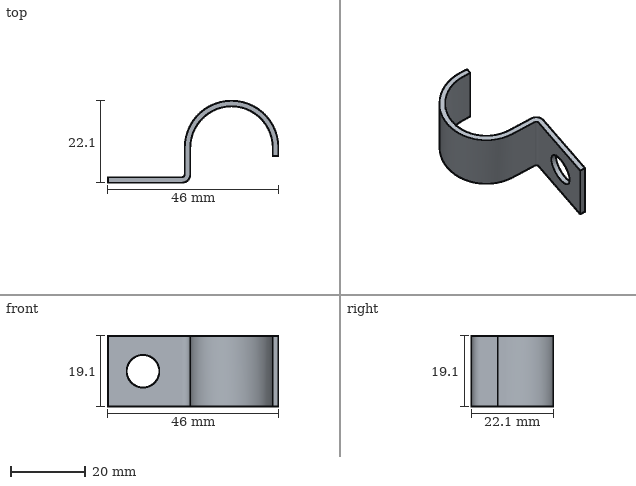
import cadquery as cq

length = 45.95
depth = 22.15
width = 19.05
thickness = 1.55
saddle_radius = 12.65
bend_radius = 2.3
free_leg = 2.35
hole_diameter = 8.75
hole_x = 9.45

inner_radius = saddle_radius - thickness
inner_bend_radius = bend_radius - thickness
saddle_x = length - saddle_radius
saddle_y = depth - saddle_radius
leg_outer_x = saddle_x - saddle_radius
leg_inner_x = leg_outer_x + thickness
lip_y = saddle_y - free_leg


def bent_strip():
    """Tab, leg and half-round saddle as one extruded profile."""
    outline = (
        cq.Workplane("XY")
        .moveTo(0, 0)
        .lineTo(leg_inner_x, 0)
        .lineTo(leg_inner_x, saddle_y)
        .threePointArc((saddle_x, saddle_y + inner_radius), (length - thickness, saddle_y))
        .lineTo(length - thickness, lip_y)
        .lineTo(length, lip_y)
        .lineTo(length, saddle_y)
        .threePointArc((saddle_x, depth), (leg_outer_x, saddle_y))
        .lineTo(leg_outer_x, thickness)
        .lineTo(0, thickness)
        .close()
    )
    strip = outline.extrude(width)
    strip = strip.edges(cq.NearestToPointSelector((leg_inner_x, 0, width / 2))).fillet(bend_radius)
    inner_corner = cq.NearestToPointSelector((leg_outer_x, thickness, width / 2))
    return strip.edges(inner_corner).fillet(inner_bend_radius)


def screw_hole():
    """Cutter for the round hole through the middle of the tab."""
    return (
        cq.Workplane("XZ")
        .center(hole_x, width / 2)
        .circle(hole_diameter / 2)
        .extrude(-thickness)
    )


result = bent_strip().cut(screw_hole())